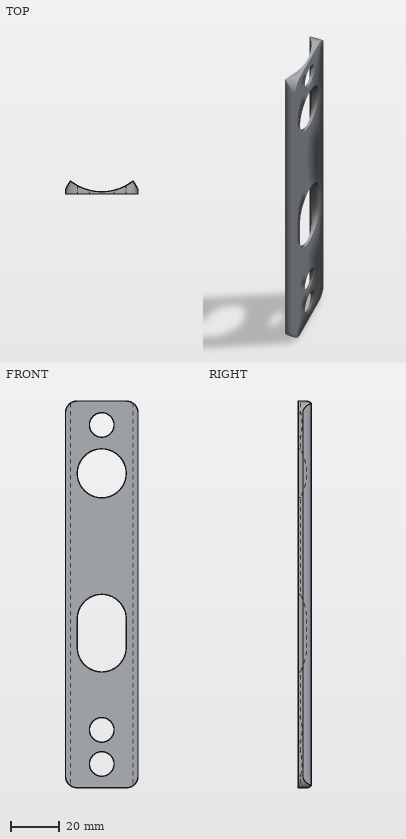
import cadquery as cq
import math

length = 160.0
width = 30.0
corner_radius = 5.0
web_thickness = 1.0
total_thickness = 5.5
side_wall_depth = 2.0
hollow_radius = 21.1

small_diameter = 10.0
large_diameter = 20.2
slot_length = 32.0
slot_height = -16.0
end_margin = 10.0
small_hole_pitch = 14.0
large_hole_offset = 20.0

top_hole_height = length / 2 - end_margin
bottom_hole_height = -top_hole_height
small_hole_heights = [top_hole_height, bottom_hole_height, bottom_hole_height + small_hole_pitch]
large_hole_height = top_hole_height - large_hole_offset


def hollow_bar():
    """Square-ended bar: flat front, short sides, slanted flanks and a concave back."""
    half_width = width / 2
    hollow_depth = total_thickness - web_thickness
    ridge_x = math.sqrt(hollow_radius**2 - (hollow_radius - hollow_depth) ** 2)
    return (
        cq.Workplane("XY")
        .workplane(offset=-length / 2)
        .moveTo(-half_width, 0)
        .lineTo(half_width, 0)
        .lineTo(half_width, side_wall_depth)
        .lineTo(ridge_x, total_thickness)
        .threePointArc((0, web_thickness), (-ridge_x, total_thickness))
        .lineTo(-half_width, side_wall_depth)
        .close()
        .extrude(length)
    )


def front_plane(height=0):
    """Sketch plane on the flat front, centred at the given height."""
    return cq.Workplane("XZ").center(0, height)


def through_prism(outline):
    """Extrude an outline on the front plane back through the whole thickness."""
    return outline.extrude(-total_thickness)


def round_cutter(height, diameter):
    return through_prism(front_plane(height).circle(diameter / 2))


def slot_cutter():
    return through_prism(front_plane(slot_height).slot2D(slot_length, large_diameter, 90))


rounded_block = through_prism(front_plane().rect(width, length)).edges("|Y").fillet(corner_radius)
result = hollow_bar().intersect(rounded_block)

for hole_height in small_hole_heights:
    result = result.cut(round_cutter(hole_height, small_diameter))

result = result.cut(round_cutter(large_hole_height, large_diameter))
result = result.cut(slot_cutter())